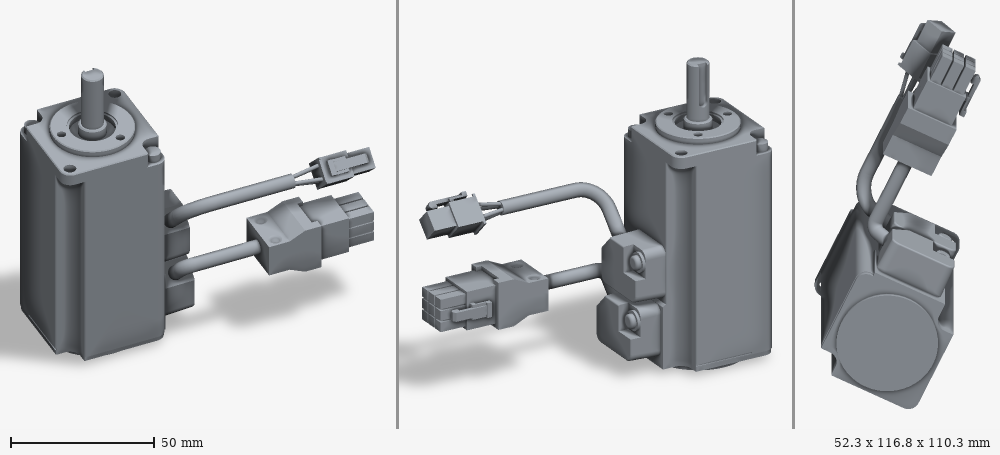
import cadquery as cq
import math


total_height = 110.3
cable_tip_y = 96.8

body_width = 40.0
body_half = body_width / 2
corner_radius = 4.0
rear_disc_radius = 17.8
rear_disc_height = 1.9
rear_plate_height = 1.8
rear_plate_inset = 0.2
rear_plate_top = rear_disc_height + rear_plate_height
flange_bottom = 80.6
flange_top = 85.1
flange_edge = 0.4

seam_height = 0.6
seam_depth = 0.4
seam_bottom = 4.0
seam_start = -10.2

pilot_radius = 15.0
pilot_top = 87.6
pilot_edge = 0.4
recess_radius = 8.2
recess_rim_radius = 9.0
recess_rim_depth = 0.6
recess_depth = 2.9
recess_floor = pilot_top - recess_depth
pilot_hole_radius = 1.6
pilot_hole_circle = 11.9

shaft_radius = 4.0
shaft_edge = 0.5
collar_radius = 5.0
collar_top = 88.9
collar_edge = 0.5
keyway_width = 3.5
keyway_depth = 1.8
keyway_bottom = 94.1

bolt_offset = 16.2
bolt_hole_radius = 2.2
scallop_radius = 4.0
corner_edge = 0.6
screw_offset = 15.9
screw_pocket_radius = 3.6
screw_pocket_floor = 79.2
screw_head_radius = 2.8
screw_head_top = 82.2

boss_left = scallop_radius - bolt_offset
boss_right = 15.0
boss_y = 21.3
boss_top = 26.4
boss_edge = 0.8

cover_left = -11.9
cover_right = 13.0
cover_height = 19.9
cover_depth = 11.9
cover_draft = 1.8
cover_radius = 3.0
cover_edge = 0.6
cover_chamfer = 6.4
cover_pocket_right = -3.2
cover_pocket_height = 10.3
cover_pocket_depth = 4.0
cover_screw_x = -7.8
cover_screw_drop = 5.1
cover_seat_radius = 3.7
cover_seat_height = 1.0
cover_screw_radius = 2.7
cover_screw_height = 2.0
upper_cover_top = 48.0
lower_cover_top = 25.5
lower_cover_shift = 1.3

cable_diameter = 5.3
cable_exit_y = 5.5
cable_buried = 11.7
encoder_x = 24.6
encoder_z = 59.3
encoder_tilt = 45
encoder_bend = 9.8
encoder_cable_end = 65.6
power_x = 18.7
power_z = 29.8
power_bend = 3.4

wire_radius = 0.7
wire_spread_cable = 1.6
wire_spread_plate = 3.5
plate_y = 75.5
plate_thickness = 0.9
plate_height = 11.8
plate_notch_width = 8.2
plate_notch_depth = 0.7
encoder_housing_size = 9.7
encoder_housing_end = 86.3
encoder_tip_size = 7.7
encoder_tip_end = 95.2
encoder_latch_y = 77.3

hood_width = 18.8
hood_start = 55.0
hood_taper_start = 63.0
hood_taper_end = 68.9
hood_end = 75.2
hood_neck_half = 6.2
hood_half = 9.0
hood_notch_width = 12.0
hood_notch_length = 2.2
hood_screw_spacing = 12.1
hood_screw_y = 58.9
hood_screw_outer = 2.5
hood_screw_inner = 1.4
hood_screw_depth = 0.5
power_housing_width = 14.8
power_housing_half = 7.4
power_housing_end = 86.8
prong_count = 3
prong_gap = 0.7
prong_field_width = 12.8
prong_field_height = 2 * hood_neck_half
power_latch_y = 78.5

latch_width = 3.4
latch_foot_width = 5.6
latch_length = 15.1
latch_gap = 1.4
latch_thickness = 1.4
latch_strip_thickness = 0.7
latch_foot_length = 1.9
latch_foot_extra = 0.5
latch_hook_length = 2.9
latch_hook_edge = 0.9
latch_stem_y = 6.4
latch_stem_length = 1.5


def box(x0, x1, y0, y1, z0, z1):
    """Block between two opposite corners."""
    return cq.Workplane("XY").box(x1 - x0, y1 - y0, z1 - z0, centered=False).translate((x0, y0, z0))


def rod(x, y, z0, z1, radius):
    """Upright cylinder."""
    return cq.Workplane("XY", origin=(x, y, z0)).circle(radius).extrude(z1 - z0)


def corner_cut(sign_x, sign_y, offset, radius, z0, z1):
    """Corner-shaped cutter with a round inner corner centred on the offset."""
    reach = body_width
    centre = offset - radius + reach / 2
    cutter = cq.Workplane("XY", origin=(sign_x * centre, sign_y * centre, z0))
    cutter = cutter.rect(reach, reach).extrude(z1 - z0)
    inner_edge = cq.selectors.NearestToPointSelector(
        (sign_x * (offset - radius), sign_y * (offset - radius), (z0 + z1) / 2)
    )
    return cutter.edges("|Z").edges(inner_edge).fillet(radius)


def square_block(width, z0, z1):
    """Square block with the rounded corners of the motor body."""
    block = cq.Workplane("XY", origin=(0, 0, z0)).rect(width, width).extrude(z1 - z0)
    return block.edges("|Z").fillet(corner_radius)


def round_mouth(body, sign_x, sign_y, wall, z):
    """Round the two upright edges where the walls of a corner cut meet the sides of the body."""
    for point in ((sign_x * wall, sign_y * body_half, z), (sign_x * body_half, sign_y * wall, z)):
        body = body.edges("|Z").edges(cq.selectors.NearestToPointSelector(point)).fillet(corner_edge)
    return body


def motor_body():
    rear_width = body_width - 2 * rear_plate_inset
    body = square_block(body_width, rear_plate_top, flange_top).faces(">Z").edges().chamfer(flange_edge)
    body = body.union(square_block(rear_width, rear_disc_height, rear_plate_top))

    for sign in (-1, 1):
        scallop = corner_cut(sign, -sign, bolt_offset, scallop_radius, 0, flange_bottom)
        body = body.cut(scallop)
        body = round_mouth(body, sign, -sign, bolt_offset - scallop_radius, (boss_top + flange_bottom) / 2)
        bolt_at = sign * bolt_offset
        body = body.cut(rod(bolt_at, -bolt_at, flange_bottom, flange_top, bolt_hole_radius))

    for sign in (-1, 1):
        pocket = corner_cut(sign, sign, screw_offset, screw_pocket_radius, screw_pocket_floor, flange_top)
        body = body.cut(pocket)
        body = round_mouth(body, sign, sign, screw_offset - screw_pocket_radius,
                           (screw_pocket_floor + flange_top) / 2)
        screw_at = sign * screw_offset
        body = body.union(rod(screw_at, screw_at, screw_pocket_floor, screw_head_top, screw_head_radius))

    boss = box(boss_left, boss_right, 0, boss_y, rear_disc_height, boss_top)
    body = body.union(boss.faces(">Y").edges(">Z").chamfer(boss_edge))

    seam_top = seam_bottom + seam_height
    inner = body_half - seam_depth
    body = body.cut(box(seam_start, body_half, -body_half, -inner, seam_bottom, seam_top))
    body = body.cut(box(-body_half, -inner, seam_start, body_half, seam_bottom, seam_top))
    return body.union(rod(0, 0, 0, rear_disc_height, rear_disc_radius))


def add_pilot(body):
    pilot = rod(0, 0, flange_top, pilot_top, pilot_radius).faces(">Z").chamfer(pilot_edge)
    body = body.union(pilot)
    recess = rod(0, 0, recess_floor, pilot_top, recess_radius)
    rim = rod(0, 0, pilot_top - recess_rim_depth, pilot_top, recess_rim_radius)
    body = body.cut(recess).cut(rim)
    for angle in (30, 150, 270):
        x = pilot_hole_circle * math.cos(math.radians(angle))
        y = pilot_hole_circle * math.sin(math.radians(angle))
        body = body.cut(rod(x, y, flange_top, pilot_top, pilot_hole_radius))
    return body


def shaft():
    collar = rod(0, 0, recess_floor, collar_top, collar_radius).faces(">Z").chamfer(collar_edge)
    stem = rod(0, 0, recess_floor, total_height, shaft_radius).faces(">Z").chamfer(shaft_edge)
    end_radius = keyway_width / 2
    floor_x = keyway_depth - shaft_radius
    end_z = keyway_bottom + end_radius
    keyway = box(-shaft_radius, floor_x, -end_radius, end_radius, end_z, total_height)
    round_end = cq.Workplane("YZ", origin=(-shaft_radius, 0, end_z)).circle(end_radius).extrude(keyway_depth)
    return collar.union(stem.cut(keyway).cut(round_end))


def cover(face_y, top_z):
    """Drafted cover standing on the +Y side, with one corner cut at 45 degrees for the cable."""
    bottom_z = top_z - cover_height
    outline = [
        (cover_left, bottom_z), (cover_right, bottom_z), (cover_right, top_z - cover_chamfer),
        (cover_right - cover_chamfer, top_z), (cover_left, top_z),
    ]
    plane = cq.Plane(origin=(0, face_y, 0), xDir=(-1, 0, 0), normal=(0, 1, 0))
    shell = cq.Workplane(plane).polyline([(-x, z) for x, z in outline]).close()
    shell = shell.extrude(cover_depth, taper=cover_draft)
    for x, z in (outline[0], outline[1], outline[4]):
        corner = cq.selectors.NearestToPointSelector((x, face_y + cover_depth / 2, z))
        shell = shell.edges(corner).fillet(cover_radius)
    shell = shell.faces(">Y").edges().fillet(cover_edge)

    outer_y = face_y + cover_depth
    pocket_y = outer_y - cover_pocket_depth
    pocket_z = top_z - cover_pocket_height
    shell = shell.cut(box(cover_left, cover_pocket_right, pocket_y, outer_y, pocket_z, top_z))
    screw_plane = cq.Plane(
        origin=(cover_screw_x, pocket_y, top_z - cover_screw_drop), xDir=(-1, 0, 0), normal=(0, 1, 0)
    )
    seat = cq.Workplane(screw_plane).circle(cover_seat_radius).extrude(cover_seat_height)
    head_top = cover_seat_height + cover_screw_height
    head = cq.Workplane(screw_plane).circle(cover_screw_radius).extrude(head_top)
    return shell.union(seat).union(head.faces(">Y").edges().fillet(cover_screw_height / 2))


def cable(face_y, x, z, bend, end_y):
    """Cable rising at 45 degrees in XZ and bending into a straight run along +Y."""
    shift = bend / math.sqrt(2)
    start = (x - shift, face_y + cable_exit_y, z - shift)
    diagonal = cq.Plane(origin=start, xDir=(1, 0, 1), normal=(-1, 0, 1))
    path = (
        cq.Workplane(diagonal)
        .moveTo(-cable_buried, 0)
        .lineTo(0, 0)
        .tangentArcPoint((bend, bend), relative=False)
        .lineTo(bend, end_y - start[1])
    )
    step = cable_buried / math.sqrt(2)
    profile = cq.Plane(
        origin=(start[0] - step, start[1], start[2] - step), xDir=(0, 1, 0), normal=(1, 0, 1)
    )
    return cq.Workplane(profile).circle(cable_diameter / 2).sweep(path)


def latch():
    """Latch standing on a housing wall at z = 0, with its foot at y = 0 and its hook at the far end."""
    top = latch_gap + latch_thickness
    arm = box(-latch_width / 2, latch_width / 2, 0, latch_length, latch_gap, top)
    foot_half = latch_foot_width / 2
    foot = box(-foot_half, foot_half, 0, latch_foot_length, latch_gap, top + latch_foot_extra)
    stem_half = latch_stem_length / 2
    strip_end = latch_stem_y + stem_half
    strip = box(-foot_half, foot_half, 0, strip_end, latch_gap, latch_gap + latch_strip_thickness)
    stem = box(-foot_half, foot_half, latch_stem_y - stem_half, strip_end, 0, latch_gap)
    hook = box(-latch_width / 2, latch_width / 2, latch_length - latch_hook_length, latch_length, 0, top)
    arm = arm.union(hook).faces(">Y").edges("|X").chamfer(latch_hook_edge)
    return arm.union(foot).union(strip).union(stem)


def centred_block(half_x, half_z, y0, y1):
    return box(-half_x, half_x, y0, y1, -half_z, half_z)


def encoder_connector():
    """Connector built around the Y axis with its latch on +Z, then tilted about Y."""
    housing_half = encoder_housing_size / 2
    tip_half = encoder_tip_size / 2
    plate_back = plate_y + plate_thickness
    part = centred_block(housing_half, plate_height / 2, plate_y, plate_back)
    notch_half = plate_notch_width / 2
    part = part.cut(box(-notch_half, notch_half, plate_y, plate_back,
                        plate_height / 2 - plate_notch_depth, plate_height / 2))
    part = part.union(centred_block(housing_half, housing_half, plate_back, encoder_housing_end))
    part = part.union(centred_block(tip_half, tip_half, encoder_housing_end, encoder_tip_end))
    part = part.union(latch().translate((0, encoder_latch_y, housing_half)))
    part = part.rotate((0, 0, 0), (0, 1, 0), encoder_tilt)

    for angle in (0, 90, 180, 270):
        x, z = math.cos(math.radians(angle)), math.sin(math.radians(angle))
        begin = cq.Vector(wire_spread_cable * x, encoder_cable_end, wire_spread_cable * z)
        finish = cq.Vector(wire_spread_plate * x, plate_y, wire_spread_plate * z)
        run = finish - begin
        overlap = run.normalized() * wire_radius
        wire = cq.Solid.makeCylinder(wire_radius, run.Length + 2 * wire_radius, begin - overlap, run)
        part = part.union(cq.Workplane(obj=wire))
    return part.translate((encoder_x, 0, encoder_z))


def power_connector():
    """Connector built around the Y axis, with its latch on -X."""
    hood_side = [
        (hood_start, hood_neck_half), (hood_taper_start, hood_neck_half),
        (hood_taper_end, hood_half), (hood_end, hood_half),
    ]
    mirrored_side = [(y, -z) for y, z in reversed(hood_side)]
    part = cq.Workplane("YZ").polyline(hood_side + mirrored_side).close().extrude(hood_width / 2, both=True)
    notch_half = hood_notch_width / 2
    part = part.cut(box(-notch_half, notch_half, hood_end - hood_notch_length, hood_end,
                        power_housing_half, hood_half))

    for sign in (-1, 1):
        seat = cq.Solid.makeCone(
            hood_screw_inner, hood_screw_outer, hood_screw_depth,
            cq.Vector(sign * hood_screw_spacing / 2, hood_screw_y, hood_neck_half - hood_screw_depth),
        )
        part = part.cut(cq.Workplane(obj=seat))

    housing_half = power_housing_width / 2
    part = part.union(centred_block(housing_half, power_housing_half, hood_end, power_housing_end))

    pitch_x = (prong_field_width + prong_gap) / prong_count
    pitch_z = (prong_field_height + prong_gap) / prong_count
    for column in range(prong_count):
        for row in range(prong_count):
            x = (column - (prong_count - 1) / 2) * pitch_x
            z = (row - (prong_count - 1) / 2) * pitch_z
            sleeve = centred_block((pitch_x - prong_gap) / 2, (pitch_z - prong_gap) / 2,
                                   power_housing_end, cable_tip_y)
            part = part.union(sleeve.translate((x, 0, z)))

    side_latch = latch().rotate((0, 0, 0), (0, 1, 0), -90).translate((-housing_half, power_latch_y, 0))
    return part.union(side_latch).translate((power_x, 0, power_z))


result = add_pilot(motor_body()).union(shaft())
result = result.union(cover(body_half, upper_cover_top))
result = result.union(cover(boss_y, lower_cover_top).translate((lower_cover_shift, 0, 0)))
result = result.union(cable(body_half, encoder_x, encoder_z, encoder_bend, encoder_cable_end))
result = result.union(cable(boss_y, power_x, power_z, power_bend, hood_start))
result = result.union(encoder_connector())
result = result.union(power_connector())